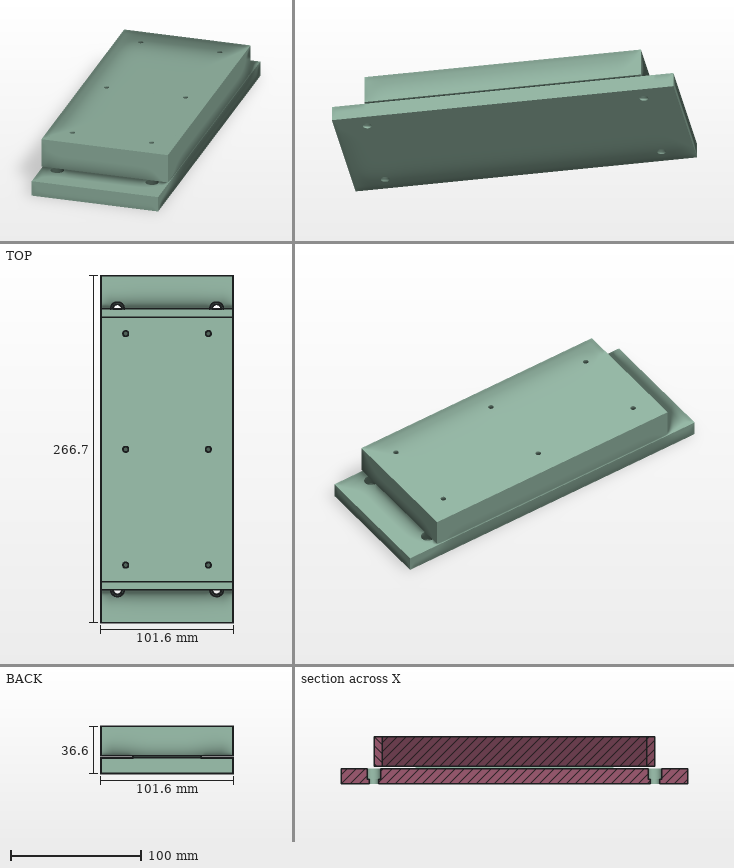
import cadquery as cq

stage_width = 101.6

base_length = 266.7
base_thickness = 12.115
mount_hole_diameter = 6.8
mount_counterbore_diameter = 10.3
mount_counterbore_depth = 8.0
mount_hole_pitch_x = 76.2

strip_width = 52.4
strip_length = 152.4
strip_thickness = 1.524

carriage_length = 203.2
carriage_thickness = 22.937
payload_hole_diameter = 4.2
payload_hole_pitch_x = 63.5
payload_hole_pitch_y = 88.9
payload_hole_columns = 2
payload_hole_rows = 3

cap_thickness = 6.35

mount_hole_pitch_y = carriage_length + 2 * cap_thickness

strip_bottom = base_thickness
carriage_bottom = strip_bottom + strip_thickness


def make_block(width, length, height, bottom):
    """Rectangular block centred on X and Y, standing on the level `bottom`."""
    return cq.Workplane("XY").workplane(offset=bottom).rect(width, length).extrude(height)


def make_base_plate():
    """Plate with four counterbored through holes."""
    plate = make_block(stage_width, base_length, base_thickness, 0)
    return (
        plate.faces(">Z")
        .workplane(origin=(0, 0, base_thickness))
        .rect(mount_hole_pitch_x, mount_hole_pitch_y, forConstruction=True)
        .vertices()
        .cboreHole(mount_hole_diameter, mount_counterbore_diameter, mount_counterbore_depth)
    )


def make_bearing_strip():
    """Thin strip that holds the carriage clear of the base."""
    return make_block(strip_width, strip_length, strip_thickness, strip_bottom)


def make_carriage():
    """Moving block with a grid of payload holes through it."""
    block = make_block(stage_width, carriage_length, carriage_thickness, carriage_bottom)
    return (
        block.faces(">Z")
        .workplane(origin=(0, 0, carriage_bottom + carriage_thickness))
        .rarray(payload_hole_pitch_x, payload_hole_pitch_y, payload_hole_columns, payload_hole_rows)
        .hole(payload_hole_diameter)
    )


def make_end_cap(side):
    """Cap on the carriage end at -Y (side = -1) or +Y (side = 1)."""
    cap = make_block(stage_width, cap_thickness, carriage_thickness, carriage_bottom)
    return cap.translate((0, side * (carriage_length + cap_thickness) / 2, 0))


base_plate = make_base_plate()
bearing_strip = make_bearing_strip()
carriage = make_carriage()
end_caps = [make_end_cap(side) for side in (-1, 1)]

result = cq.Compound.makeCompound(
    [
        base_plate.val(),
        bearing_strip.val(),
        carriage.val(),
        *[cap.val() for cap in end_caps],
    ]
)